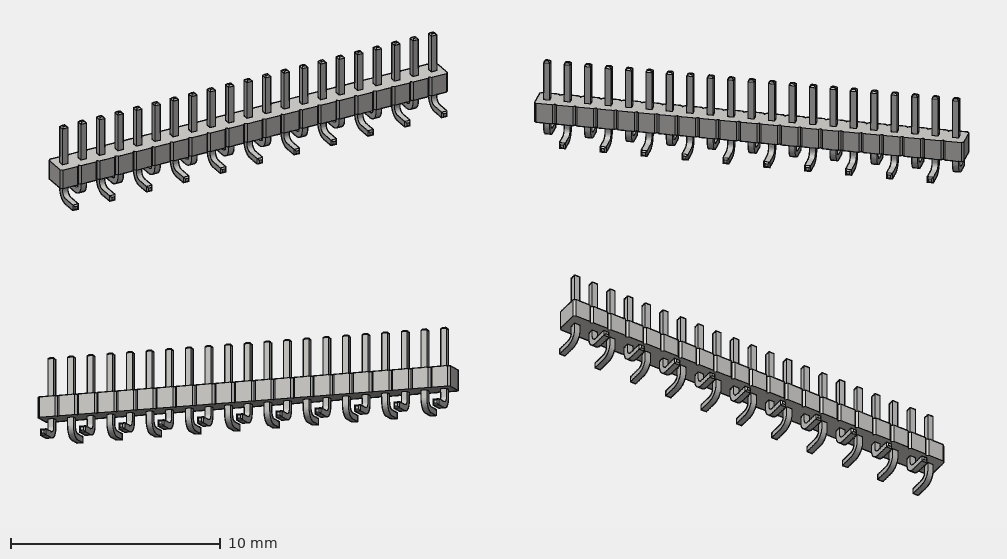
import cadquery as cq

pin_count = 21
pitch = 1.0
body_width = 1.3
body_bottom = 1.0
body_height = 1.0
corner_chamfer = 0.1
pin_size = 0.3
pin_top = 4.0
foot_span = 2.5
inner_bend_radius = 0.3
tip_chamfer = pin_size / 4

half_pin = pin_size / 2
outer_bend_radius = inner_bend_radius + pin_size
bend_center_x = half_pin + inner_bend_radius
foot_tip_x = foot_span / 2
first_pin_y = -(pin_count - 1) * pitch / 2


def make_body_segment(y):
    """One cell of the insulator strip, its vertical corners chamfered into V notches."""
    return (
        cq.Workplane("XY", origin=(0, y, body_bottom))
        .rect(body_width, pitch)
        .extrude(body_height)
        .edges("|Z")
        .chamfer(corner_chamfer)
    )


def make_pin():
    """Square pin standing on Z, bent at its base into a foot along +X, with tapered tips."""
    post = (
        cq.Workplane("XY", origin=(0, 0, outer_bend_radius))
        .rect(pin_size, pin_size)
        .extrude(pin_top - outer_bend_radius)
        .faces(">Z")
        .chamfer(tip_chamfer)
    )
    bend = (
        cq.Workplane("XY", origin=(0, 0, outer_bend_radius))
        .rect(pin_size, pin_size)
        .revolve(90, (bend_center_x, 0, 0), (bend_center_x, -1, 0))
    )
    foot = (
        cq.Workplane("YZ", origin=(bend_center_x, 0, half_pin))
        .rect(pin_size, pin_size)
        .extrude(foot_tip_x - bend_center_x)
        .faces(">X")
        .chamfer(tip_chamfer)
    )
    return post.union(bend).union(foot)


right_pin = make_pin()
left_pin = right_pin.rotate((0, 0, 0), (0, 0, 1), 180)

result = make_body_segment(first_pin_y)
for index in range(1, pin_count):
    result = result.union(make_body_segment(first_pin_y + index * pitch))
result = result.clean()

for index in range(pin_count):
    pin = right_pin if index % 2 == 0 else left_pin
    result = result.union(pin.translate((0, first_pin_y + index * pitch, 0)))